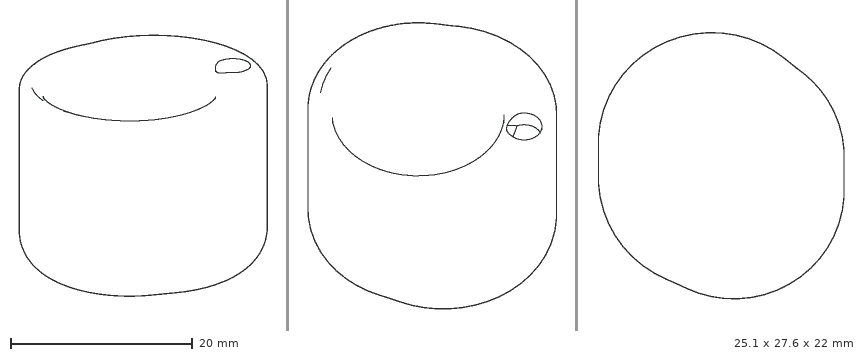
import cadquery as cq
import math

height = 22.0
front_radius = 12.2
rear_radius = 12.55
rear_offset = 2.87
waist_radius = 50.0

bore_radius = 9.5
floor_thickness = 2.0
bowl_fillet = 5.0

bottom_fillet = 4.0
lip_fillet = 2.0
rim_fillet = 1.0

pin_hole_radius = 1.95
pin_hole_depth = 2.0
pin_hole_y = 12.2
ramp_start_y = 10.95


def point_toward(start, end, distance):
    """Point at the given distance from start, on the way to end."""
    ratio = distance / math.dist(start, end)
    return (start[0] + (end[0] - start[0]) * ratio, start[1] + (end[1] - start[1]) * ratio)


def mirrored(point):
    """The same point on the other side of the YZ plane."""
    return (-point[0], point[1])


def body_outline():
    """Two offset circles joined by tangent hollow arcs."""
    front_center = (0.0, 0.0)
    rear_center = (0.0, rear_offset)

    front_reach = front_radius + waist_radius
    rear_reach = rear_radius + waist_radius
    waist_y = (front_reach**2 - rear_reach**2 + rear_offset**2) / (2 * rear_offset)
    waist_center = (math.sqrt(front_reach**2 - waist_y**2), waist_y)

    front_tangent = point_toward(front_center, waist_center, front_radius)
    rear_tangent = point_toward(rear_center, waist_center, rear_radius)
    tangent_middle = (
        (front_tangent[0] + rear_tangent[0]) / 2,
        (front_tangent[1] + rear_tangent[1]) / 2,
    )
    waist_middle = point_toward(waist_center, tangent_middle, waist_radius)

    return (
        cq.Workplane("XY")
        .moveTo(*front_tangent)
        .threePointArc(waist_middle, rear_tangent)
        .threePointArc((0, rear_offset + rear_radius), mirrored(rear_tangent))
        .threePointArc(mirrored(waist_middle), mirrored(front_tangent))
        .threePointArc((0, -front_radius), front_tangent)
        .close()
    )


def bore_cutter():
    """Round bore with a large fillet around its flat floor."""
    bore = cq.Workplane("XY").workplane(offset=floor_thickness).circle(bore_radius).extrude(height)
    return bore.faces("<Z").edges().fillet(bowl_fillet)


def pin_hole_cutter():
    """Flat-bottomed hole, open at the top, with a hollow ramp on the side next to the bore."""
    floor_z = height - pin_hole_depth
    hole = (
        cq.Workplane("XY")
        .workplane(offset=floor_z)
        .center(0, pin_hole_y)
        .circle(pin_hole_radius)
        .extrude(2 * pin_hole_depth)
    )

    ramp_run = pin_hole_y - ramp_start_y
    ramp_axis_z = floor_z + math.sqrt(pin_hole_radius**2 - ramp_run**2)
    wall_y = pin_hole_y - pin_hole_radius
    back_y = wall_y - pin_hole_radius
    ramp = (
        cq.Workplane("YZ")
        .moveTo(ramp_start_y, floor_z)
        .radiusArc((wall_y, ramp_axis_z), pin_hole_radius)
        .lineTo(back_y, ramp_axis_z)
        .lineTo(back_y, floor_z)
        .close()
        .extrude(pin_hole_radius, both=True)
    )
    return hole.cut(ramp)


def rounded_lip_and_rim(solid):
    """Round the bore mouth first; the rim then blends into it where the wall is thin."""
    mouth = solid.faces(">Z").val().innerWires()[0]
    lipped = solid.newObject(mouth.Edges()).fillet(lip_fillet)
    rim = lipped.faces(">Z").val().outerWire()
    return lipped.newObject(rim.Edges()).fillet(rim_fillet)


body = body_outline().extrude(height)
body = body.faces("<Z").edges().fillet(bottom_fillet)
body = body.cut(bore_cutter())
body = rounded_lip_and_rim(body)
result = body.cut(pin_hole_cutter())